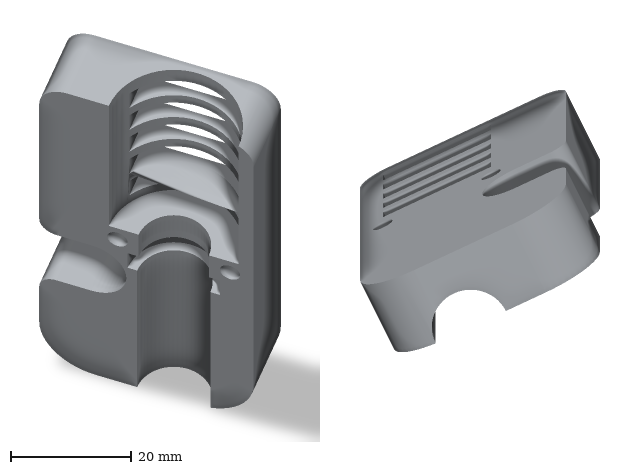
import cadquery as cq

width = 38.0
depth = 13.0
height = 75.0
top_corner_radius = 5.0
bottom_corner_radius = 10.0

bore_x = 23.85
chamber_diameter = 23.0
chamber_floor_z = 42.0
neck_diameter = 12.45
collar_diameter = 16.35
collar_top_z = 36.0
collar_bottom_z = 32.0
barrel_diameter = 13.0

window_count = 5
window_width = 19.95
window_height = 4.0
window_pitch = 6.0
floor_to_first_window = 2.0
first_window_z = chamber_floor_z + floor_to_first_window

screw_diameter = 3.6
screw_spacing = 19.95
screw_z = (chamber_floor_z + collar_top_z) / 2

notch_z = 29.0
notch_radius = 6.2
notch_depth = 15.45
notch_mouth_radius = 3.0


def box(x, z, size_x, size_z):
    """Box through the full depth with its lower left corner at (x, z)."""
    return cq.Workplane("XY").box(size_x, depth, size_z, centered=False).translate((x, 0, z))


def cross_cylinder(x, z, radius):
    """Cylinder along Y through the full depth."""
    return cq.Workplane("XZ", origin=(x, 0, z)).circle(radius).extrude(-depth)


def bore_section(diameter, bottom_z, top_z):
    """Vertical cylinder of the stepped bore."""
    section = cq.Workplane("XY", origin=(bore_x, 0, bottom_z))
    return section.circle(diameter / 2).extrude(top_z - bottom_z)


body = box(0, 0, width, height)
body = body.edges("|Y and >Z").fillet(top_corner_radius)
body = body.edges("|Y and <Z").fillet(bottom_corner_radius)

notch_center_x = notch_depth - notch_radius
body = body.cut(box(0, notch_z - notch_radius, notch_center_x, 2 * notch_radius))
body = body.cut(cross_cylinder(notch_center_x, notch_z, notch_radius))
mouth_margin = 0.4
mouth_selector = cq.selectors.BoxSelector(
    (-mouth_margin, -mouth_margin, notch_z - notch_radius - mouth_margin),
    (mouth_margin, depth + mouth_margin, notch_z + notch_radius + mouth_margin),
)
body = body.edges("|Y").edges(mouth_selector).fillet(notch_mouth_radius)

body = body.cut(bore_section(barrel_diameter, 0, collar_bottom_z))
body = body.cut(bore_section(collar_diameter, collar_bottom_z, collar_top_z))
body = body.cut(bore_section(neck_diameter, collar_top_z, chamber_floor_z))
body = body.cut(bore_section(chamber_diameter, chamber_floor_z, height))

for index in range(window_count):
    window_z = first_window_z + index * window_pitch
    body = body.cut(box(bore_x - window_width / 2, window_z, window_width, window_height))

for side in (-1, 1):
    body = body.cut(cross_cylinder(bore_x + side * screw_spacing / 2, screw_z, screw_diameter / 2))

result = body